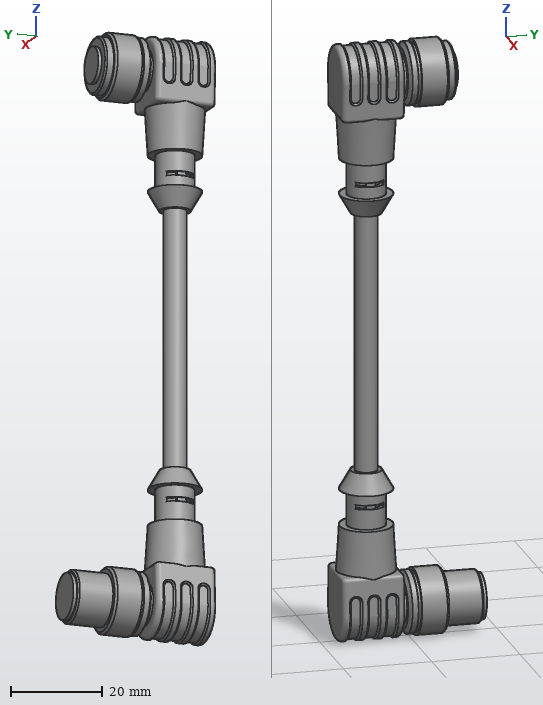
import math

import cadquery as cq

total_length = 136.5
top_z = total_length / 2
male_tip_y = 16.5

housing_width = 14.2
housing_radius = housing_width / 2
housing_bottom_width = 13.4
housing_depth = 14.0
housing_front_y = -16.5
housing_back_y = housing_front_y + housing_depth
housing_bottom_z = 52.3
housing_arc_z = top_z - housing_radius
side_taper = math.degrees(
    math.atan2((housing_width - housing_bottom_width) / 2, housing_arc_z - housing_bottom_z)
)
housing_fillet = 1.1
housing_bottom_fillet = 0.8

groove_count = 3
groove_pitch = 4.1
groove_width = 2.9
groove_depth = 0.4
groove_floor_width = groove_width - 2 * groove_depth
groove_end_z = 57.8

cable_y = (housing_front_y + housing_back_y) / 2
cable_diameter = 5.2
neck_top_diameter = 13.4
neck_end_diameter = 12.0
neck_end_z = 42.0
sleeve_diameter = 8.7
flare_top_diameter = 12.0
flare_top_z = 33.9
flare_end_diameter = 7.0
flare_end_z = 29.5
notch_z = 37.0
notch_height = 1.0
notch_width = 6.3
notch_floor_diameter = 6.5
notch_web_width = 2.0
notch_web_x = 4.0

plug_axis_z = 60.6
shank_diameter = 9.5
flange_back_y = -1.5
flange_back_diameter = 11.7
flange_diameter = 14.2
flange_taper_y = -0.8
flange_front_y = 0.5
nut_groove_diameter = 13.7
nut_back_y = 1.2
nut_diameter = 15.0
nut_chamfer = 0.5
nut_front_y = 7.5

collar_diameter = 13.0
collar_front_y = 9.4
collar_chamfer = 0.4
insert_diameter = 8.3
insert_front_y = 10.2

barrel_diameter = 12.0
barrel_front_y = 15.7
barrel_chamfer = 0.4
male_tip_diameter = 10.5


def turned(profile):
    """Revolve (radius, height) points about the local vertical axis of a plane."""
    return profile.close().revolve(360, (0, 0, 0), (0, 1, 0))


def housing_blank():
    outline = (
        cq.Workplane("XZ", origin=(0, housing_back_y, 0))
        .moveTo(-housing_bottom_width / 2, housing_bottom_z)
        .lineTo(-housing_radius, housing_arc_z)
        .threePointArc((0, top_z), (housing_radius, housing_arc_z))
        .lineTo(housing_bottom_width / 2, housing_bottom_z)
        .close()
    )
    body = outline.extrude(housing_depth)
    body = body.faces("<Y or >Y").edges("not <Z").fillet(housing_fillet)
    return body.faces("<Z").edges().fillet(housing_bottom_fillet)


def groove_section(workplane, center_y):
    """Trapezoid across the groove: wide at the housing surface, narrow at the floor."""
    half_width = groove_width / 2
    half_floor = groove_floor_width / 2
    floor_radius = housing_radius - groove_depth
    return workplane.polyline([
        (floor_radius, center_y - half_floor),
        (housing_radius, center_y - half_width),
        (housing_radius, center_y + half_width),
        (floor_radius, center_y + half_floor),
    ]).close()


def grip_groove(center_y):
    arc_plane = cq.Workplane("XY", origin=(0, 0, housing_arc_z))
    groove = groove_section(arc_plane, center_y).revolve(180, (0, 0, 0), (0, -1, 0))
    straight = groove_section(arc_plane, center_y).extrude(groove_end_z - housing_arc_z)
    rounded_end = (
        cq.Workplane("YZ", origin=(housing_radius - groove_depth, center_y, groove_end_z))
        .circle(groove_floor_width / 2)
        .extrude(groove_depth, taper=-45)
    )
    side = straight.union(rounded_end)
    side = side.rotate((housing_radius, 0, housing_arc_z), (housing_radius, 1, housing_arc_z), side_taper)
    return groove.union(side).union(side.mirror("YZ"))


def sleeve_notches():
    """Notches on both X sides with a round floor, each bridged by a narrow web in the middle."""
    bottom = cq.Workplane("XY", origin=(0, cable_y, notch_z - notch_height / 2))
    notches = bottom.rect(sleeve_diameter, notch_width).extrude(notch_height)
    core = bottom.circle(notch_floor_diameter / 2).extrude(notch_height)
    webs = bottom.rect(2 * notch_web_x, notch_web_width).extrude(notch_height)
    return notches.cut(core).cut(webs)


def cable_exit():
    profile = cq.Workplane("XZ", origin=(0, cable_y, 0)).polyline([
        (0, housing_bottom_z + housing_bottom_fillet),
        (neck_top_diameter / 2, housing_bottom_z + housing_bottom_fillet),
        (neck_end_diameter / 2, neck_end_z),
        (sleeve_diameter / 2, neck_end_z),
        (sleeve_diameter / 2, flare_top_z),
        (flare_top_diameter / 2, flare_top_z),
        (flare_end_diameter / 2, flare_end_z),
        (0, flare_end_z),
    ])
    return turned(profile).cut(sleeve_notches())


def plug(face_points):
    """Coupling nut on its shank, followed by the given (radius, y) points of the plug face."""
    profile = cq.Workplane("XY", origin=(0, 0, plug_axis_z)).polyline([
        (0, cable_y),
        (shank_diameter / 2, cable_y),
        (shank_diameter / 2, flange_back_y),
        (flange_back_diameter / 2, flange_back_y),
        (flange_diameter / 2, flange_taper_y),
        (flange_diameter / 2, flange_front_y),
        (nut_groove_diameter / 2, flange_front_y),
        (nut_groove_diameter / 2, nut_back_y),
        (nut_diameter / 2, nut_back_y),
        (nut_diameter / 2, nut_front_y - nut_chamfer),
        (nut_diameter / 2 - nut_chamfer, nut_front_y),
    ] + face_points)
    return turned(profile)


female_face = [
    (collar_diameter / 2, nut_front_y),
    (collar_diameter / 2, collar_front_y - collar_chamfer),
    (collar_diameter / 2 - collar_chamfer, collar_front_y),
    (insert_diameter / 2, collar_front_y),
    (insert_diameter / 2, insert_front_y),
    (0, insert_front_y),
]
male_face = [
    (barrel_diameter / 2, nut_front_y),
    (barrel_diameter / 2, barrel_front_y - barrel_chamfer),
    (barrel_diameter / 2 - barrel_chamfer, barrel_front_y),
    (male_tip_diameter / 2, barrel_front_y),
    (male_tip_diameter / 2, male_tip_y),
    (0, male_tip_y),
]


def cable_end(face_points):
    """Upper end of the lead: housing, cable exit and a plug."""
    housing = housing_blank()
    for index in range(groove_count):
        offset = (index - (groove_count - 1) / 2) * groove_pitch
        housing = housing.cut(grip_groove(cable_y + offset))
    return housing.union(cable_exit()).union(plug(face_points))


upper_end = cable_end(female_face)
lower_end = cable_end(male_face).mirror("XY")
cable = (
    cq.Workplane("XY", origin=(0, cable_y, -flare_top_z))
    .circle(cable_diameter / 2)
    .extrude(2 * flare_top_z)
)

result = cable.union(upper_end).union(lower_end)